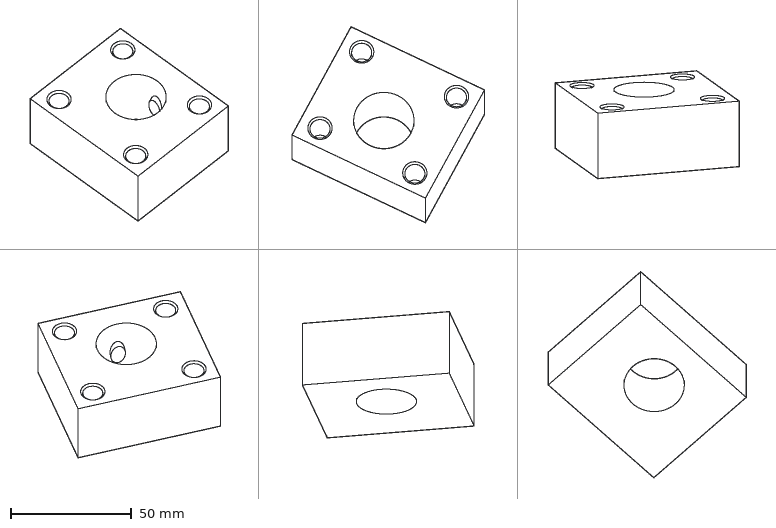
import cadquery as cq
import math

LENGTH = 62.0
WIDTH = 54.0
HEIGHT = 28.0
TOP = HEIGHT / 2

BORE_DIAMETER = 25.0
BORE_Y = 4.0
BORE_BACK_Y = BORE_Y + BORE_DIAMETER / 2

BOLT_SPACING_X = 44.0
BOLT_SPACING_Y = 38.05
BOLT_DIAMETER = 8.3
COUNTERSINK_DIAMETER = 10.05
BOLT_DEPTH = 18.6
DRILL_POINT_ANGLE = 140.0

STOP_DIAMETER = 6.4
STOP_REACH = 1.55
STOP_SLOPE = 45.0
STOP_END_Z = -2.05
STOP_ROOT_DEPTH = 3.7


def block():
    return cq.Workplane("XY").box(LENGTH, WIDTH, HEIGHT)


def main_bore():
    start = cq.Workplane("XY", origin=(0, BORE_Y, -TOP))
    return start.circle(BORE_DIAMETER / 2).extrude(HEIGHT)


def bolt_hole():
    """One bolt hole on the Z axis, as a revolved half section."""
    radius = BOLT_DIAMETER / 2
    mouth_radius = COUNTERSINK_DIAMETER / 2
    countersink_depth = mouth_radius - radius
    point_depth = radius / math.tan(math.radians(DRILL_POINT_ANGLE / 2))
    return (
        cq.Workplane("XZ")
        .moveTo(0, TOP)
        .lineTo(mouth_radius, TOP)
        .lineTo(radius, TOP - countersink_depth)
        .lineTo(radius, TOP - BOLT_DEPTH)
        .lineTo(0, TOP - BOLT_DEPTH - point_depth)
        .close()
        .revolve(360, (0, 0), (0, 1))
    )


def stop():
    """Oblique peg, kept between its flat end and its root inside the wall."""
    end_y = BORE_BACK_Y - STOP_REACH
    slope = math.radians(STOP_SLOPE)
    axis = cq.Vector(0, math.cos(slope), math.sin(slope))
    end_centre = cq.Vector(0, end_y, STOP_END_Z)
    peg_half_length = 2 * STOP_DIAMETER
    peg = cq.Solid.makeCylinder(
        STOP_DIAMETER / 2, 2 * peg_half_length, end_centre - axis * peg_half_length, axis
    )
    slab_length = STOP_REACH + STOP_ROOT_DEPTH
    slab_centre = (0, end_y + slab_length / 2, 0)
    slab = cq.Workplane("XY", origin=slab_centre).box(LENGTH, slab_length, HEIGHT)
    return slab.intersect(cq.Workplane(peg))


result = block().cut(main_bore()).union(stop())
for x in (-BOLT_SPACING_X / 2, BOLT_SPACING_X / 2):
    for y in (-BOLT_SPACING_Y / 2, BOLT_SPACING_Y / 2):
        result = result.cut(bolt_hole().translate((x, y, 0)))